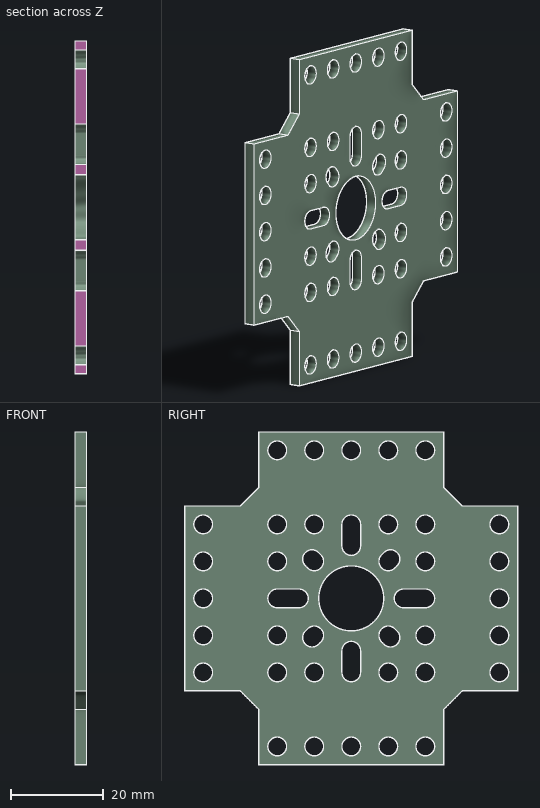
import cadquery as cq
import math

thickness = 2.5
overall_size = 72.0
arm_width = 40.0
corner_chamfer = 4.0
hole_pitch = 8.0
hole_diameter = 4.0
center_bore_diameter = 14.0
diagonal_slot_outer_radius = 12.0

half_size = overall_size / 2
half_arm = arm_width / 2
edge_row = 4 * hole_pitch
inner_radius = hole_pitch * math.sqrt(2)
axis_slot_outer_radius = 2 * hole_pitch
quarter_turns = [0, 90, 180, 270]
diagonals = [angle + 45 for angle in quarter_turns]


def minus_x_face():
    """Sketch plane on the -X face; the plate spans one thickness toward +X from here."""
    return cq.Workplane("YZ", origin=(-thickness / 2, 0, 0))


def cross_plate():
    """Plate in the YZ plane, centered on the origin: a cross with chamfer-filled inner corners."""
    shoulder = half_arm + corner_chamfer
    corner = [
        (half_size, half_arm),
        (shoulder, half_arm),
        (half_arm, shoulder),
        (half_arm, half_size),
    ]
    outline = []
    for _ in quarter_turns:
        outline += corner
        corner = [(-z, y) for y, z in corner]
    return minus_x_face().polyline(outline).close().extrude(thickness)


def round_cutter(diameter, points):
    """Through cylinders at the given (y, z) points."""
    return minus_x_face().pushPoints(points).circle(diameter / 2).extrude(thickness)


def radial_slot_cutters(inner_center, outer_center, angles):
    """Through slots on radial lines, with end arc centers at the two given radii."""
    length = outer_center - inner_center + hole_diameter
    middle = (inner_center + outer_center) / 2
    slot = (
        minus_x_face()
        .center(middle, 0)
        .slot2D(length, hole_diameter)
        .extrude(thickness)
    )
    return [slot.rotate((0, 0, 0), (1, 0, 0), angle) for angle in angles]


def hole_points():
    """Centers of all plain round holes: arm rows and the inner grid."""
    steps = [i * hole_pitch for i in range(-2, 3)]
    points = []
    for along in steps:
        for side in (-1, 1):
            points.append((along, side * edge_row))
            points.append((side * edge_row, along))
    for y in steps:
        for z in steps:
            on_axis = y == 0 or z == 0
            on_diagonal_slot = abs(y) == hole_pitch and abs(z) == hole_pitch
            if not on_axis and not on_diagonal_slot:
                points.append((y, z))
    return points


result = cross_plate()
result = result.cut(round_cutter(center_bore_diameter, [(0, 0)]))
result = result.cut(round_cutter(hole_diameter, hole_points()))

for cutter in radial_slot_cutters(inner_radius, axis_slot_outer_radius, quarter_turns):
    result = result.cut(cutter)

for cutter in radial_slot_cutters(inner_radius, diagonal_slot_outer_radius, diagonals):
    result = result.cut(cutter)